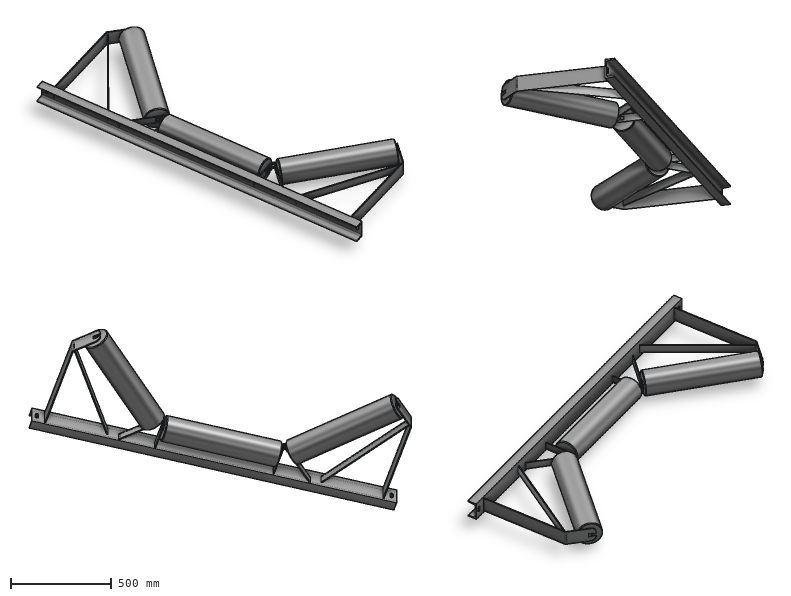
import cadquery as cq
import math


BEAM_LENGTH = 1900.0
BEAM_HEIGHT = 100.0
BEAM_DEPTH = 50.0
WEB_THICKNESS = 6.0
FLANGE_THICKNESS = 8.5
FLANGE_SLOPE = 0.08
ROOT_RADIUS = 8.5
TOE_RADIUS = 4.5
SLOT_WIDTH = 17.0
SLOT_HEIGHT = 30.0
SLOT_FROM_END = 27.0

ROLLER_DIAMETER = 133.0
ROLLER_LENGTH = 600.0
ROLLER_CHAMFER = 4.8
SHAFT_DIAMETER = 25.0
SHAFT_END_SQUARE = 17.0
BRACKET_GAP = 4.8
SHOULDER_CLEARANCE = 1.0
CENTRE_ROLLER_Y = 115.0
CENTRE_ROLLER_Z = -20.0
TROUGH_ANGLE = 45.0
FORWARD_TILT = 1.8
SIDE_ROLLER_MIDDLE = (-574.0, 357.0)

STRIP_THICKNESS = 6.0
BEND_RADIUS = 8.0
OUTER_STRIP_HEIGHT = 80.0
INNER_STRIP_HEIGHT = 40.0
BRACE_HEIGHT = 45.0
POST_OUTER_X = -884.0
TIP_PAST_SHAFT = 30.0
TIP_RADIUS = 25.0
BRACE_FOOT_X = -562.0

TROUGH = math.radians(TROUGH_ANGLE)
TILT = math.radians(FORWARD_TILT)
BRACKET_OFFSET = ROLLER_LENGTH / 2 + BRACKET_GAP
SHAFT_LENGTH = ROLLER_LENGTH + 2 * (BRACKET_GAP + STRIP_THICKNESS)
SIDE_ROLLER_Z = CENTRE_ROLLER_Z + ROLLER_LENGTH / 2 * math.sin(TILT)
ALONG = cq.Vector(-math.cos(TROUGH), math.sin(TROUGH), 0)
ACROSS = cq.Vector(math.sin(TROUGH), math.cos(TROUGH), 0)
SIDE_MIDDLE = cq.Vector(*SIDE_ROLLER_MIDDLE, 0)


def make_beam():
    inner_height = BEAM_HEIGHT / 2 - FLANGE_THICKNESS
    toe_z = inner_height + FLANGE_SLOPE * BEAM_DEPTH / 2
    root_z = inner_height - FLANGE_SLOPE * (BEAM_DEPTH / 2 - WEB_THICKNESS)
    top = BEAM_HEIGHT / 2
    outline = [
        (0, -top), (0, top), (-BEAM_DEPTH, top), (-BEAM_DEPTH, toe_z), (-WEB_THICKNESS, root_z),
        (-WEB_THICKNESS, -root_z), (-BEAM_DEPTH, -toe_z), (-BEAM_DEPTH, -top),
    ]
    beam = cq.Workplane("YZ").polyline(outline).close().extrude(BEAM_LENGTH)
    beam = beam.translate((-BEAM_LENGTH / 2, 0, 0))
    for z in (root_z, -root_z):
        beam = beam.edges(cq.NearestToPointSelector((0, -WEB_THICKNESS, z))).fillet(ROOT_RADIUS)
    for z in (toe_z, -toe_z):
        beam = beam.edges(cq.NearestToPointSelector((0, -BEAM_DEPTH, z))).fillet(TOE_RADIUS)
    slot_x = BEAM_LENGTH / 2 - SLOT_FROM_END
    slots = (
        cq.Workplane("XZ").pushPoints([(-slot_x, 0), (slot_x, 0)])
        .slot2D(SLOT_HEIGHT, SLOT_WIDTH, 90).extrude(WEB_THICKNESS)
    )
    return beam.cut(slots)


def make_roller():
    """Roller along X, centred on the origin, with squared shaft ends."""
    body = cq.Workplane("YZ").circle(ROLLER_DIAMETER / 2).extrude(ROLLER_LENGTH)
    body = body.translate((-ROLLER_LENGTH / 2, 0, 0))
    body = body.faces("<X or >X").chamfer(ROLLER_CHAMFER)
    shoulder = BRACKET_OFFSET - SHOULDER_CLEARANCE
    shaft = cq.Workplane("YZ").circle(SHAFT_DIAMETER / 2).extrude(shoulder, both=True)
    ends = cq.Workplane("XY").box(SHAFT_LENGTH, SHAFT_END_SQUARE, SHAFT_END_SQUARE)
    return body.union(shaft).union(ends)


def make_shaft_slots():
    """Cutter for the bracket slots of a roller at the origin, open towards +Y."""
    reach = ROLLER_DIAMETER
    return (
        cq.Workplane("XY").center(0, reach / 2 - SHAFT_END_SQUARE / 2)
        .box(SHAFT_LENGTH + 2 * STRIP_THICKNESS, reach, SHAFT_END_SQUARE)
    )


def place_centre(shape):
    return shape.translate((0, CENTRE_ROLLER_Y, CENTRE_ROLLER_Z))


def place_left(shape):
    """Tilt a shape lying along X and lay it along the left side roller's axis."""
    tilted = shape.rotate((0, 0, 0), (0, 1, 0), FORWARD_TILT)
    troughed = tilted.rotate((0, 0, 0), (0, 0, 1), -TROUGH_ANGLE)
    return troughed.translate((*SIDE_ROLLER_MIDDLE, SIDE_ROLLER_Z))


def mirror_x(shape):
    return shape.mirror("YZ")


def bent_strip(start, bend, end, height):
    """Strip standing on edge, bent once, with its thickness to the right of start-bend-end."""
    def right_of(a, b):
        direction = (b - a).normalized()
        return cq.Vector(direction.y, -direction.x, 0) * STRIP_THICKNESS

    first, second = right_of(start, bend), right_of(bend, end)
    mitre = (first + second) * (STRIP_THICKNESS**2 / (STRIP_THICKNESS**2 + first.dot(second)))
    inside = bend + mitre
    outline = [start, bend, end, end + second, inside, start + first]
    strip = (
        cq.Workplane("XY").polyline([(p.x, p.y) for p in outline]).close()
        .extrude(height / 2, both=True)
    )
    strip = strip.edges(cq.NearestToPointSelector((inside.x, inside.y, 0))).fillet(BEND_RADIUS)
    return strip.edges(cq.NearestToPointSelector((bend.x, bend.y, 0))).fillet(BEND_RADIUS + STRIP_THICKNESS)


def point_at_x(point, direction, x):
    return point + direction * ((x - point.x) / direction.x)


def point_at_y(point, direction, y):
    return point + direction * ((y - point.y) / direction.y)


UPPER_SEAT = SIDE_MIDDLE + ALONG * (BRACKET_OFFSET + STRIP_THICKNESS)
POST_BEND = point_at_x(UPPER_SEAT, ACROSS, POST_OUTER_X)


def make_outer_bracket():
    """Tall post whose top is bent over to carry the upper end of the left roller."""
    tip = UPPER_SEAT + ACROSS * TIP_PAST_SHAFT
    bracket = bent_strip(cq.Vector(POST_OUTER_X, 0, 0), POST_BEND, tip, OUTER_STRIP_HEIGHT)
    tip_middle = tip - ALONG * (STRIP_THICKNESS / 2)
    for z in (-OUTER_STRIP_HEIGHT / 2, OUTER_STRIP_HEIGHT / 2):
        bracket = bracket.edges(cq.NearestToPointSelector((tip_middle.x, tip_middle.y, z))).fillet(TIP_RADIUS)
    return bracket.cut(place_left(make_shaft_slots()))


def make_inner_bracket():
    """Strip folded to a peak: one leg carries the left roller, the upright one the centre roller."""
    upright_x = -BRACKET_OFFSET
    lower_seat = SIDE_MIDDLE - ALONG * BRACKET_OFFSET
    foot = point_at_y(lower_seat, ACROSS, -STRIP_THICKNESS)
    peak = point_at_x(lower_seat, ACROSS, upright_x)
    bracket = bent_strip(foot, peak, cq.Vector(upright_x, 0, 0), INNER_STRIP_HEIGHT)
    bracket = bracket.translate((0, 0, CENTRE_ROLLER_Z))
    bracket = bracket.intersect(cq.Workplane("XZ").rect(BEAM_LENGTH, BEAM_HEIGHT).extrude(-BEAM_LENGTH))
    bracket = bracket.cut(place_left(make_shaft_slots()))
    return bracket.cut(place_centre(make_shaft_slots()))


def make_brace():
    """Straight strip from the beam up to the bend of the tall post."""
    foot = cq.Vector(BRACE_FOOT_X, 0, 0)
    head = POST_BEND + cq.Vector(STRIP_THICKNESS, 0, 0)
    direction = (head - foot).normalized()
    side = cq.Vector(direction.y, -direction.x, 0) * STRIP_THICKNESS
    foot_side = point_at_y(foot + side, direction, 0)
    outline = [foot, head, head + side, foot_side]
    return (
        cq.Workplane("XY").polyline([(p.x, p.y) for p in outline]).close()
        .extrude(BRACE_HEIGHT / 2, both=True)
    )


outer_bracket = make_outer_bracket()
inner_bracket = make_inner_bracket()
brace = make_brace().cut(outer_bracket)
side_roller = place_left(make_roller())

bodies = [make_beam(), place_centre(make_roller())]
for left_body in (side_roller, outer_bracket, inner_bracket, brace):
    bodies += [left_body, mirror_x(left_body)]

result = cq.Compound.makeCompound([body.val() for body in bodies])